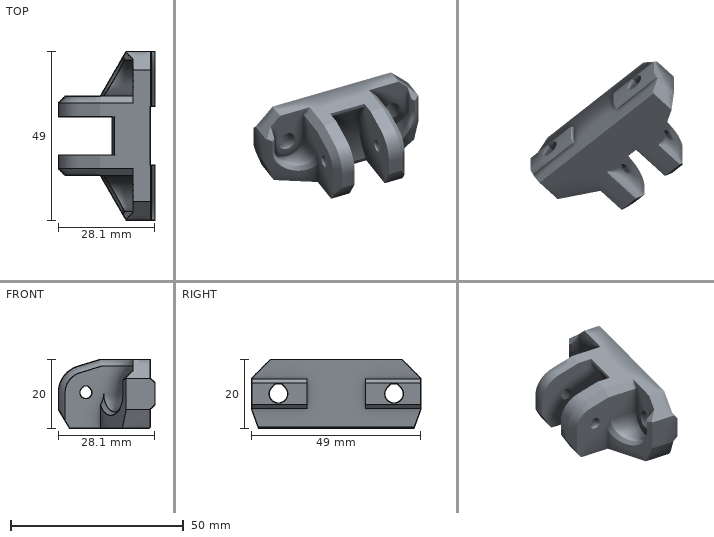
import cadquery as cq
import math


height = 20.0
half_length = 24.5

hinge_z = 10.35
arm_radius = 8.0
arm_outer_y = 11.5
arm_inner_y = 5.5
arm_chamfer = 2.0
pin_diameter = 3.4
toe_rise = 5.5
toe_run = 3.25
arm_foot_chamfer = 0.35

knuckle_radius = 12.0
lip_thickness = 1.0

base_back_x = 18.7
base_thickness = 5.0
end_thickness = 7.0
top_bevel = 5.5
bottom_bevel_width = 1.95
bottom_bevel_height = 5.4
back_edge_chamfer = 0.4
base_front_x = base_back_x - base_thickness
end_front_x = base_back_x - end_thickness

wing_angle = 30.0
wing_root_overlap = 1.2
wing_top_z = 16.85
wing_slope = math.tan(math.radians(wing_angle))
arm_shoulder_x = end_front_x - (half_length - arm_outer_y) * wing_slope

pocket_radius = 5.25
pocket_chamfer = 1.0
bolt_diameter = 5.3
bolt_y = arm_outer_y + pocket_radius
bolt_z = height / 2

roof_rise = 0.2

key_length = 16.0
key_height = 8.6
key_depth = 1.4
key_bevel = 1.15


def box(x_range, y_range, z_range):
    """Axis-aligned block from its minimum and maximum along each axis."""
    sizes = [high - low for low, high in (x_range, y_range, z_range)]
    corner = (x_range[0], y_range[0], z_range[0])
    return cq.Workplane("XY").box(*sizes, centered=False).translate(corner)


def extrude_along_y(sketch, y_start, y_end):
    """Extrude an XZ sketch between two Y positions (the XZ plane normal is -Y)."""
    return sketch.extrude(y_start - y_end).translate((0, y_start, 0))


def teardrop(workplane, radius):
    """Flat-roofed teardrop outline around the origin of a workplane whose vertical is Z."""
    flank = radius * math.sqrt(0.5)
    roof = radius + roof_rise
    roof_half_width = 2 * flank - roof
    return (
        workplane.moveTo(-flank, flank)
        .threePointArc((0, -radius), (flank, flank))
        .lineTo(roof_half_width, roof)
        .lineTo(-roof_half_width, roof)
        .close()
    )


def arm_block():
    """Both arms as one solid block, with chamfered outer edges and a sloped toe."""
    shoulder_dz = height - hinge_z
    shoulder_distance = math.hypot(arm_shoulder_x, shoulder_dz)
    tangent_angle = math.atan2(shoulder_dz, arm_shoulder_x) + math.acos(arm_radius / shoulder_distance)

    def on_arm_arc(angle):
        return (arm_radius * math.cos(angle), hinge_z + arm_radius * math.sin(angle))

    block_back_x = (base_front_x + base_back_x) / 2
    sketch = (
        cq.Workplane("XZ")
        .moveTo(-arm_radius, 0)
        .lineTo(-arm_radius, hinge_z)
        .threePointArc(on_arm_arc((tangent_angle + math.pi) / 2), on_arm_arc(tangent_angle))
        .lineTo(arm_shoulder_x, height)
        .lineTo(block_back_x, height)
        .lineTo(block_back_x, 0)
        .close()
    )
    block = extrude_along_y(sketch, -arm_outer_y, arm_outer_y)
    outer_edges = block.faces("<Y or >Y").edges("not (<Z or >X)")
    block = block.newObject(outer_edges.vals()).chamfer(arm_chamfer)

    toe_sketch = (
        cq.Workplane("XZ")
        .moveTo(-arm_radius, 0)
        .lineTo(-arm_radius, toe_rise)
        .lineTo(toe_run - arm_radius, 0)
        .close()
    )
    return block.cut(extrude_along_y(toe_sketch, -arm_outer_y, arm_outer_y))


def end_prism(x_front, x_back):
    """Bevelled outline of the base, seen along X, extruded between two X positions."""
    bevel_y = half_length - bottom_bevel_width
    top_y = half_length - top_bevel
    outline = [
        (-bevel_y, 0),
        (bevel_y, 0),
        (half_length, bottom_bevel_height),
        (half_length, height - top_bevel),
        (top_y, height),
        (-top_y, height),
        (-half_length, height - top_bevel),
        (-half_length, bottom_bevel_height),
    ]
    return cq.Workplane("YZ").polyline(outline).close().extrude(x_back - x_front).translate((x_front, 0, 0))


def wing():
    """Wing on the +Y side, with its chamfered bolt pocket and sloped top."""
    root_y = arm_outer_y - wing_root_overlap
    root_x = end_front_x - (half_length - root_y) * wing_slope
    plan = [
        (root_x, root_y),
        (end_front_x, half_length),
        (base_back_x, half_length),
        (base_back_x, root_y),
    ]
    body = cq.Workplane("XY").polyline(plan).close().extrude(height)

    pocket = cq.Workplane("YZ").center(bolt_y, bolt_z).circle(pocket_radius).extrude(base_front_x)
    pocket = pocket.union(
        box((0, base_front_x), (arm_outer_y, arm_outer_y + 2 * pocket_radius), (bolt_z, height))
    )
    body = body.cut(pocket)
    normal = cq.Vector(-1, wing_slope, 0)
    slanted_face = body.faces(cq.selectors.DirectionMinMaxSelector(normal, True))
    pocket_zone = cq.selectors.BoxSelector(
        (0, arm_outer_y - pocket_chamfer / 2, 0),
        (base_back_x, arm_outer_y + 2 * pocket_radius + pocket_chamfer / 2, height),
    )
    mouth_edges = slanted_face.edges(pocket_zone).edges("not (<Z or >Z)")
    body = body.newObject(mouth_edges.vals()).chamfer(pocket_chamfer)

    top_sketch = (
        cq.Workplane("XZ")
        .moveTo(base_front_x, wing_top_z)
        .lineTo(base_front_x - wing_top_z, 0)
        .lineTo(base_front_x - wing_top_z, height)
        .lineTo(base_front_x, height)
        .close()
    )
    body = body.cut(extrude_along_y(top_sketch, bolt_y, half_length))
    body = body.cut(box((0, base_front_x), (root_y, bolt_y), (bolt_z, height)))
    return body.intersect(end_prism(0, base_front_x))


def key():
    """Locating key behind the +Y end of the base, bevelled along its long edges."""
    start_y = half_length - key_length
    bar = box(
        (base_front_x, base_back_x + key_depth),
        (start_y, half_length),
        (bolt_z - key_height / 2, bolt_z + key_height / 2),
    )
    bar = bar.faces(">X").edges("|Y").chamfer(key_bevel)
    return bar.intersect(box((base_back_x, base_back_x + key_depth), (start_y, half_length), (0, height)))


def bolt_hole():
    workplane = cq.Workplane("YZ").center(bolt_y, bolt_z)
    return teardrop(workplane, bolt_diameter / 2).extrude(base_back_x + key_depth)


def pin_hole():
    workplane = cq.Workplane("XZ").center(0, hinge_z)
    return extrude_along_y(teardrop(workplane, pin_diameter / 2), -arm_outer_y, arm_outer_y)


def knuckle_slot():
    """Slot between the arms; its curved end leaves an upright lip along the top and the bottom."""
    y_range = (-arm_inner_y, arm_inner_y)
    top_lip_z = height - lip_thickness
    top_lip_x = math.sqrt(knuckle_radius**2 - (top_lip_z - hinge_z) ** 2)
    bottom_lip_x = math.sqrt(knuckle_radius**2 - (hinge_z - lip_thickness) ** 2)
    circle = cq.Workplane("XZ").center(0, hinge_z).circle(knuckle_radius)
    round_end = extrude_along_y(circle, *y_range).intersect(
        box((-knuckle_radius, knuckle_radius), y_range, (lip_thickness, top_lip_z))
    )
    lower = box((-knuckle_radius, bottom_lip_x), y_range, (0, hinge_z))
    upper = box((-knuckle_radius, top_lip_x), y_range, (hinge_z, height))
    foot_outline = [
        (-arm_inner_y - arm_foot_chamfer, 0),
        (arm_inner_y + arm_foot_chamfer, 0),
        (arm_inner_y, arm_foot_chamfer),
        (-arm_inner_y, arm_foot_chamfer),
    ]
    foot = cq.Workplane("YZ").polyline(foot_outline).close().extrude(arm_radius + bottom_lip_x)
    foot = foot.translate((-arm_radius, 0, 0))
    return round_end.union(lower).union(upper).union(foot)


base = end_prism(base_front_x, base_back_x)
base = base.faces(">X").edges("<Z").chamfer(back_edge_chamfer)

one_hole = bolt_hole()

result = base.union(arm_block())
for feature in (wing(), key()):
    result = result.union(feature).union(feature.mirror("XZ"))
result = result.cut(knuckle_slot())
result = result.cut(pin_hole())
result = result.cut(one_hole).cut(one_hole.mirror("XZ"))
result = result.clean()